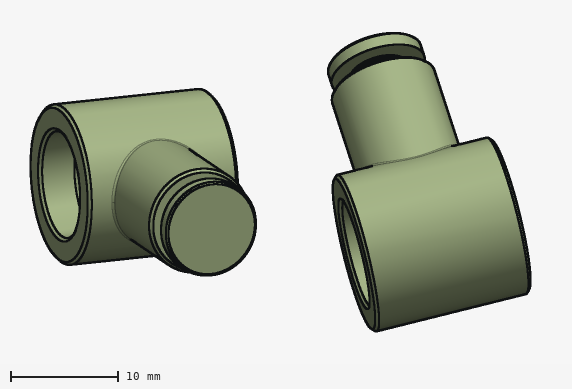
import cadquery as cq

ring_diameter = 15.0
ring_radius = ring_diameter / 2
ring_length = ring_diameter
bore_radius = 5.0
edge_chamfer = 0.3

relief_length = 8.0
relief_depth = 0.3
relief_taper_length = 0.5

total_length = 27.0
arm_radius = bore_radius
arm_end_gap = 2.9
neck_radius = 2.56
neck_flare = 0.14
collar_radius = 4.5
collar_thickness = 1.4
collar_chamfer = 0.2
joint_fillet = 0.22

tip_x = total_length - ring_radius
arm_end_x = tip_x - arm_end_gap
collar_start_x = tip_x - collar_thickness


def cylinder_along_y(radius, start_y, length):
    """Round bar that starts at start_y and runs toward +Y."""
    return cq.Workplane("XZ", origin=(0, start_y, 0)).circle(radius).extrude(-length)


def make_arm():
    """Arm, neck and collar, turned about the X axis from half a profile."""
    profile = (
        cq.Workplane("XY")
        .lineTo(0, arm_radius)
        .lineTo(arm_end_x - edge_chamfer, arm_radius)
        .lineTo(arm_end_x, arm_radius - edge_chamfer)
        .lineTo(arm_end_x, neck_radius)
        .lineTo(collar_start_x - neck_flare, neck_radius)
        .lineTo(collar_start_x, neck_radius + neck_flare)
        .lineTo(collar_start_x, collar_radius)
        .lineTo(tip_x - collar_chamfer, collar_radius)
        .lineTo(tip_x, collar_radius - collar_chamfer)
        .lineTo(tip_x, 0)
        .close()
    )
    return profile.revolve(360, (0, 0, 0), (1, 0, 0))


def make_relief():
    """Space of the bore relief, turned about the Y axis from half a profile."""
    end_y = relief_length / 2
    floor_end_y = end_y - relief_taper_length
    floor_radius = bore_radius + relief_depth
    profile = (
        cq.Workplane("XY")
        .moveTo(0, -end_y)
        .lineTo(bore_radius, -end_y)
        .lineTo(floor_radius, -floor_end_y)
        .lineTo(floor_radius, floor_end_y)
        .lineTo(bore_radius, end_y)
        .lineTo(0, end_y)
        .close()
    )
    return profile.revolve(360, (0, 0, 0), (0, 1, 0))


ring_start_y = -ring_length / 2
ring = cylinder_along_y(ring_radius, ring_start_y, ring_length)
ring = ring.faces("<Y or >Y").chamfer(edge_chamfer)
body = ring.union(make_arm())
body = body.edges("not (%CIRCLE or %LINE)").fillet(joint_fillet)

body = body.cut(cylinder_along_y(bore_radius, ring_start_y, ring_length))
mouth_edges = body.faces("<Y or >Y").edges(cq.selectors.RadiusNthSelector(0))
body = mouth_edges.chamfer(edge_chamfer)

result = body.cut(make_relief())